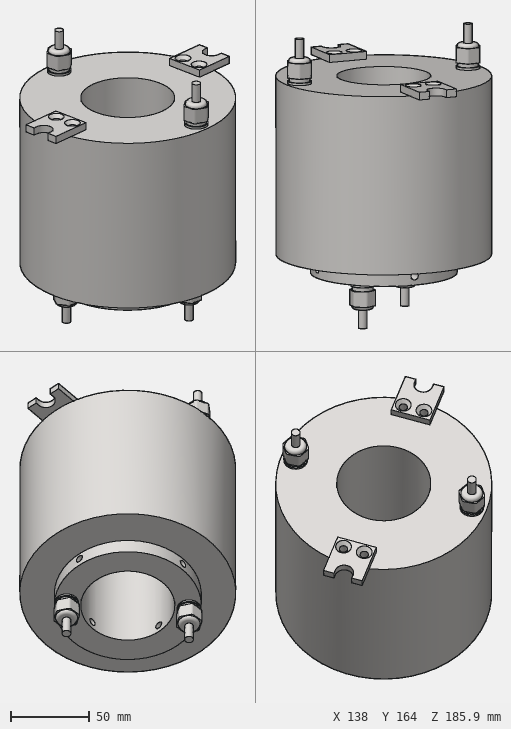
import cadquery as cq

body_dia = 138.0
body_height = 116.0
bore_dia = 60.0

collar_dia = 94.0
neck_dia = 88.0
neck_height = 1.3
collar_height = 10.6
collar_bottom = -neck_height - collar_height
cross_hole_dia = 5.0
cross_hole_z = collar_bottom + 6.0

tab_span = 164.0
tab_length = 28.3
tab_width = 26.0
tab_thickness = 5.0
tab_slot_width = 11.9
tab_slot_straight = 2.6

screw_spacing = 14.0
screw_inset = 6.1
screw_hole_dia = 5.2
countersink_dia = 10.0
countersink_depth = 2.5
screw_hole_depth = 14.9
drill_tip_height = 1.5

washer_dia = 15.3
washer_height = 1.5
stem_dia = 13.4
stem_height = 2.6
nut_flats = 15.0
nut_height = 10.0
nut_corner_radius = 1.9
nut_turn = 35.0
dome_base_dia = 14.1
dome_height = 2.5
dome_edge_radius = 2.2
cable_dia = 5.5
gland_height = 29.0
top_gland_offset = 59.3
bottom_gland_offset = 27.7


def cylinder(diameter, z_start, height):
    return cq.Workplane("XY").workplane(offset=z_start).circle(diameter / 2).extrude(height)


def make_housing():
    """Drum, neck and collar with the bore and the crossed radial holes."""
    housing = cylinder(body_dia, 0, body_height)
    housing = housing.union(cylinder(neck_dia, -neck_height, neck_height))
    housing = housing.union(cylinder(collar_dia, collar_bottom, collar_height))
    housing = housing.cut(cylinder(bore_dia, collar_bottom, body_height - collar_bottom))
    for plane in ("XZ", "YZ"):
        cross_hole = (
            cq.Workplane(plane)
            .center(0, cross_hole_z)
            .circle(cross_hole_dia / 2)
            .extrude(collar_dia, both=True)
        )
        housing = housing.cut(cross_hole)
    return housing


def make_tab():
    """Tab on the +Y side, with a round-ended slot open at its outer edge."""
    outer_y = tab_span / 2
    slot_radius = tab_slot_width / 2
    slot_end_y = outer_y - tab_slot_straight
    return (
        cq.Workplane("XY")
        .workplane(offset=body_height)
        .moveTo(-tab_width / 2, outer_y)
        .lineTo(-slot_radius, outer_y)
        .lineTo(-slot_radius, slot_end_y)
        .threePointArc((0, slot_end_y - slot_radius), (slot_radius, slot_end_y))
        .lineTo(slot_radius, outer_y)
        .lineTo(tab_width / 2, outer_y)
        .lineTo(tab_width / 2, outer_y - tab_length)
        .lineTo(-tab_width / 2, outer_y - tab_length)
        .close()
        .extrude(tab_thickness)
    )


def make_screw_holes():
    """Cutters for the two countersunk, drill-pointed holes of the +Y tab."""
    hole_profile = (
        cq.Workplane("XZ")
        .lineTo(countersink_dia / 2, 0)
        .lineTo(screw_hole_dia / 2, -countersink_depth)
        .lineTo(screw_hole_dia / 2, -screw_hole_depth)
        .lineTo(0, -screw_hole_depth - drill_tip_height)
        .close()
    )
    hole = hole_profile.revolve(360, (0, 0, 0), (0, 1, 0))
    hole_y = tab_span / 2 - tab_length + screw_inset
    hole_z = body_height + tab_thickness
    left_hole = hole.translate((-screw_spacing / 2, hole_y, hole_z))
    right_hole = hole.translate((screw_spacing / 2, hole_y, hole_z))
    return left_hole.union(right_hole)


def make_gland():
    """Cable gland seated on Z = 0 and pointing up, with its cable stub."""
    nut_bottom = washer_height + stem_height
    nut_top = nut_bottom + nut_height
    nut = (
        cq.Workplane("XY")
        .workplane(offset=nut_bottom)
        .polygon(6, nut_flats, circumscribed=True)
        .extrude(nut_height)
        .edges("|Z")
        .fillet(nut_corner_radius)
        .rotate((0, 0, 0), (0, 0, 1), nut_turn)
    )
    dome = cylinder(dome_base_dia, nut_top, dome_height)
    dome = dome.faces(">Z").edges().fillet(dome_edge_radius)
    gland = cylinder(washer_dia, 0, washer_height)
    gland = gland.union(cylinder(stem_dia, washer_height, stem_height))
    gland = gland.union(nut).union(dome)
    return gland.union(cylinder(cable_dia, nut_top, gland_height - nut_top))


result = make_housing()

tab = make_tab()
screw_holes = make_screw_holes()
for angle in (0, 180):
    result = result.union(tab.rotate((0, 0, 0), (0, 0, 1), angle))
    result = result.cut(screw_holes.rotate((0, 0, 0), (0, 0, 1), angle))

upright_gland = make_gland()
hanging_gland = upright_gland.rotate((0, 0, 0), (1, 1, 0), 180)
for side in (-1, 1):
    result = result.union(upright_gland.translate((side * top_gland_offset, 0, body_height)))
    diagonal = side * bottom_gland_offset
    result = result.union(hanging_gland.translate((diagonal, diagonal, collar_bottom)))